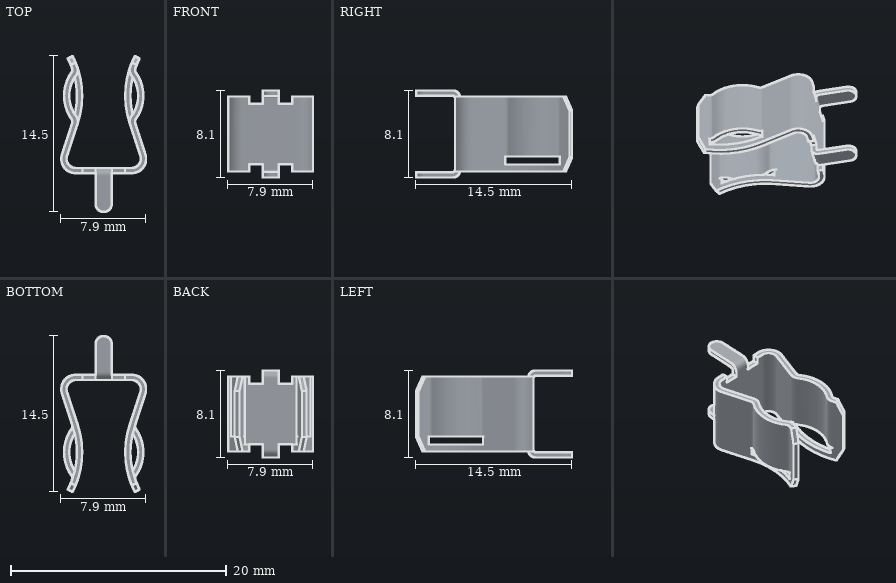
import cadquery as cq
import math


thickness = 0.5
overall_length = 14.49
overall_width = 7.9
overall_height = 8.1
clip_height = 7.0

tip_y = 10.9
hold_y = 7.2
hold_inner_radius = 3.19
corner_outer_radius = 1.35
bow_radius = 7.97
bow_half_gap = 1.99
bend_radius = 0.43

grip_bottom = -2.1
strip_top = -2.81
slot_start_y = 4.7
slot_end_y = 9.72

lip_cut_length = 0.67
lip_cut_height = 1.36

tab_width = 1.52
tab_inner_radius = 0.2
notch_half_width = 1.99
notch_depth = 0.68

joint_tolerance = 1.45e-07

half_sheet = thickness / 2
half_height = clip_height / 2
tab_top = overall_height / 2
tab_end_y = tip_y - overall_length

corner_mid_radius = corner_outer_radius - half_sheet
corner_x = overall_width / 2 - corner_outer_radius
corner_y = corner_outer_radius
bow_mid_radius = bow_radius - half_sheet
bow_x = bow_half_gap + bow_radius
hold_mid_radius = hold_inner_radius + half_sheet
hold_outer_radius = hold_inner_radius + thickness
bend_mid_radius = bend_radius + half_sheet

center_distance = math.hypot(bow_x - corner_x, hold_y - corner_y)
center_direction = math.atan2(hold_y - corner_y, bow_x - corner_x)
leg_direction = center_direction + math.asin((corner_mid_radius + bow_mid_radius) / center_distance)
leg_normal = leg_direction - math.pi / 2

bow_start = leg_normal + math.pi
bow_end = math.pi - math.asin((tip_y - hold_y) / bow_radius)

bend_to_hold = hold_outer_radius + bend_radius
leg_offset = (
    (corner_x * math.cos(leg_normal) + (corner_y - hold_y) * math.sin(leg_normal))
    + corner_outer_radius
    + bend_radius
)
rear_angle = leg_normal - math.acos(leg_offset / bend_to_hold)
rear_x = bend_to_hold * math.cos(rear_angle)
rear_y = hold_y + bend_to_hold * math.sin(rear_angle)

bend_to_bow = bow_radius - thickness - bend_radius
front_x = (bow_x**2 + bend_to_hold**2 - bend_to_bow**2) / (2 * bow_x)
front_angle = math.acos(front_x / bend_to_hold)
front_y = hold_y + bend_to_hold * math.sin(front_angle)
blend_angle = math.atan2(front_y - hold_y, front_x - bow_x)

corner_bend = (corner_x, corner_y, corner_mid_radius, -math.pi / 2, leg_normal)
bow_arc = (bow_x, hold_y, bow_mid_radius, bow_start, bow_end)
rear_bend = (rear_x, rear_y, bend_mid_radius, bow_start, rear_angle + math.pi)
hold_arc = (0, hold_y, hold_mid_radius, rear_angle, front_angle)
front_bend = (front_x, front_y, bend_mid_radius, front_angle + math.pi, blend_angle)
lip_arc = (bow_x, hold_y, bow_mid_radius, blend_angle, bow_end)


def face_arc(bend, side):
    """Start, middle and end point of a bend on the right (+1) or left (-1) face of the sheet."""
    x, y, mid_radius, start, end = bend
    turn = 1 if end > start else -1
    radius = mid_radius + side * turn * half_sheet
    angles = (start, (start + end) / 2, end)
    return [(x + radius * math.cos(a), y + radius * math.sin(a)) for a in angles]


def arm(bends, bottom, top):
    """Half of the clip: sheet along tangent bends joined by straight stretches."""
    right_face = [face_arc(bend, 1) for bend in bends]
    left_face = [face_arc(bend, -1)[::-1] for bend in reversed(bends)]
    outline = cq.Workplane("XY").workplane(offset=bottom).moveTo(0, 0)
    position = (0, 0)
    for start, middle, end in right_face + left_face:
        if math.dist(position, start) > joint_tolerance:
            outline = outline.lineTo(*start)
        outline = outline.threePointArc(middle, end)
        position = end
    return outline.lineTo(0, thickness).close().extrude(top - bottom)


def block(x_range, y_range, z_range):
    """Box between the given limits."""
    size = [high - low for low, high in (x_range, y_range, z_range)]
    corner = (x_range[0], y_range[0], z_range[0])
    return cq.Workplane("XY").box(*size, centered=False).translate(corner)


def lip_bevel():
    """Wedge that bevels the upper corner of the right arm's tip, cutting square to the sheet."""
    radial_x = math.cos(bow_end)
    radial_y = math.sin(bow_end)
    tip = (bow_x + bow_mid_radius * radial_x, hold_y + bow_mid_radius * radial_y, 0)
    tip_plane = cq.Plane(origin=tip, xDir=(-radial_y, radial_x, 0), normal=(radial_x, radial_y, 0))
    overshoot = thickness
    wedge_height = lip_cut_height * (lip_cut_length + overshoot) / lip_cut_length
    corners = [
        (lip_cut_length, half_height),
        (-overshoot, half_height),
        (-overshoot, half_height - wedge_height),
    ]
    return cq.Workplane(tip_plane).polyline(corners).close().extrude(2 * thickness, both=True)


def solder_tab():
    """Upper tab: rises from the base, bends backward and ends in a full round."""
    outer_radius = tab_inner_radius + thickness
    bend_y = -tab_inner_radius
    bend_z = tab_top - outer_radius
    root_z = half_height - notch_depth
    outer_diagonal = outer_radius * math.sqrt(0.5)
    inner_diagonal = tab_inner_radius * math.sqrt(0.5)
    outline_length = thickness - tab_end_y + tab_width
    profile = (
        cq.Workplane("YZ")
        .moveTo(0, root_z)
        .lineTo(thickness, root_z)
        .lineTo(thickness, bend_z)
        .threePointArc((bend_y + outer_diagonal, bend_z + outer_diagonal), (bend_y, tab_top))
        .lineTo(tab_end_y, tab_top)
        .lineTo(tab_end_y, tab_top - thickness)
        .lineTo(bend_y, tab_top - thickness)
        .threePointArc((bend_y + inner_diagonal, bend_z + inner_diagonal), (0, bend_z))
        .close()
        .extrude(tab_width / 2, both=True)
    )
    plan_outline = (
        cq.Workplane("XY")
        .workplane(offset=root_z)
        .center(0, tab_end_y + outline_length / 2)
        .slot2D(outline_length, tab_width, 90)
        .extrude(tab_top - root_z)
    )
    return profile.intersect(plan_outline)


strip = arm([corner_bend, bow_arc], -half_height, grip_bottom)
slot = block((0, overall_width / 2), (slot_start_y, slot_end_y), (strip_top, grip_bottom))
grip = arm([corner_bend, rear_bend, hold_arc, front_bend, lip_arc], grip_bottom, half_height)
right_half = strip.cut(slot).union(grip)
bevel = lip_bevel()
right_half = right_half.cut(bevel).cut(bevel.mirror("XY"))

clip = right_half.union(right_half.mirror("YZ"))
notch = block(
    (-notch_half_width, notch_half_width),
    (0, thickness),
    (half_height - notch_depth, half_height),
)
tab = solder_tab()
clip = clip.cut(notch).cut(notch.mirror("XY"))
result = clip.union(tab).union(tab.mirror("XY")).clean()